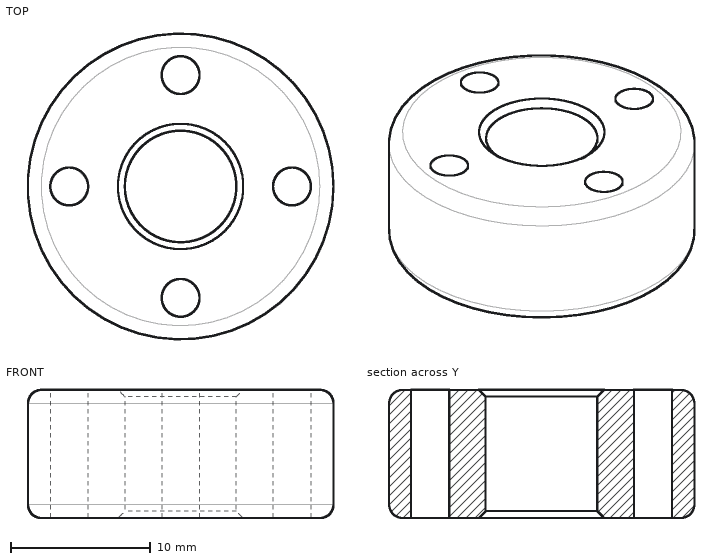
import cadquery as cq

outer_diameter = 22.0
height = 9.25
rim_radius = 1.0

bore_diameter = 8.0
bore_chamfer = 0.5

hole_count = 4
hole_diameter = 2.7
hole_circle_radius = 8.0


def ring_body():
    """Disc with both outer rims rounded."""
    disc = cq.Workplane("XY").circle(outer_diameter / 2).extrude(height)
    return disc.edges().fillet(rim_radius)


def cut_bore(body):
    """Cut the central bore and chamfer its two mouths."""
    bored = body.faces(">Z").workplane().hole(bore_diameter)
    mouths = cq.selectors.RadiusNthSelector(0)
    return bored.faces("<Z or >Z").edges(mouths).chamfer(bore_chamfer)


def cut_holes(body):
    """Cut the ring of plain through holes."""
    holes = (
        cq.Workplane("XY")
        .polarArray(hole_circle_radius, 0, 360, hole_count)
        .circle(hole_diameter / 2)
        .extrude(height)
    )
    return body.cut(holes)


result = cut_holes(cut_bore(ring_body()))